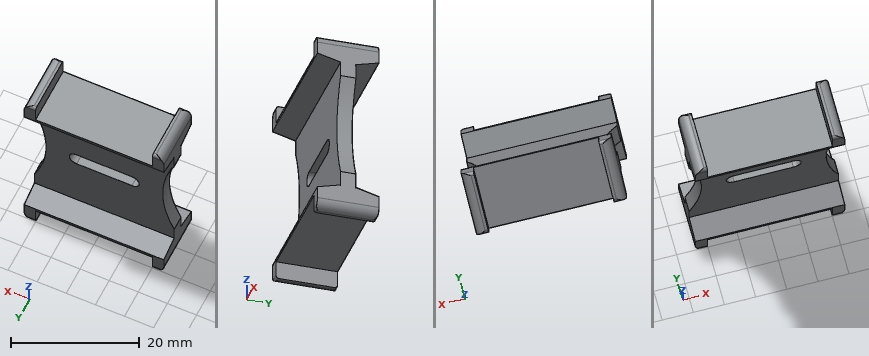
import cadquery as cq

width = 24.0
depth = 10.0
height = 31.5

lip_width = 2.0
lip_height = 3.0
lip_round = 1.5
lip_end_round = 0.5
flange_edge_height = 3.5
flange_root_height = 4.5

web_thickness = 2.5
waist_depth = 2.0
waist_height = 17.58
slot_length = 12.0
slot_height = 2.5

half_width = width / 2
half_depth = depth / 2
half_height = height / 2
half_web = web_thickness / 2
edge_z = half_height - flange_edge_height
root_z = half_height - flange_root_height


def make_i_section():
    """Extrude the I-shaped YZ section along the full width."""
    right_side = [
        (half_depth, -half_height),
        (half_depth, -edge_z),
        (half_web, -root_z),
        (half_web, root_z),
        (half_depth, edge_z),
        (half_depth, half_height),
    ]
    left_side = [(-y, z) for y, z in reversed(right_side)]
    return cq.Workplane("YZ").polyline(right_side + left_side).close().extrude(half_width, both=True)


def round_outer_edges(body):
    """Round the ends of the lips, then the long outer corners."""
    body = body.faces("<Z or >Z").edges("|X").fillet(lip_end_round)
    corner_cutter = (
        cq.Workplane("XZ").rect(width, height).extrude(depth, both=True).edges("|Y").fillet(lip_round)
    )
    return body.intersect(corner_cutter)


def make_channel(side):
    """Recess between the two lips; side is 1 for the top and -1 for the bottom."""
    return (
        cq.Workplane("XY")
        .box(width - 2 * lip_width, 2 * depth, 2 * lip_height)
        .translate((0, 0, side * half_height))
    )


def make_waist(side):
    """Shallow arc cut into the web edge; side is 1 for +X and -1 for -X."""
    edge_x = side * half_width
    return (
        cq.Workplane("XZ")
        .moveTo(edge_x, -waist_height / 2)
        .threePointArc((edge_x - side * waist_depth, 0), (edge_x, waist_height / 2))
        .close()
        .extrude(depth, both=True)
    )


result = round_outer_edges(make_i_section())
for side in (1, -1):
    result = result.cut(make_channel(side)).cut(make_waist(side))

slot = cq.Workplane("XZ").slot2D(slot_length, slot_height).extrude(depth, both=True)
result = result.cut(slot)